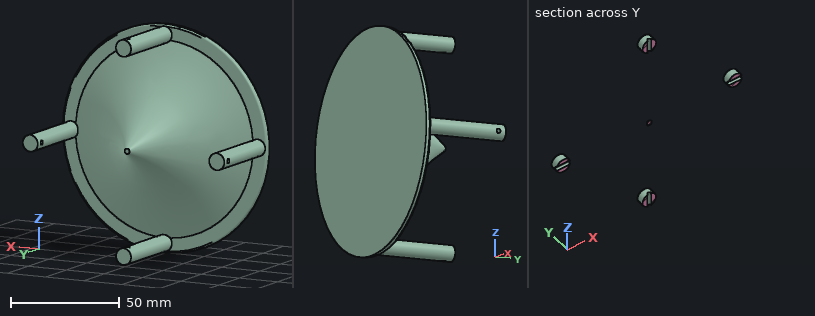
import cadquery as cq

plate_diameter = 107.5
plate_thickness = 2.7
rim_fillet = 1.0

post_count = 4
post_diameter = 8.0
post_length = 39.8
post_circle_radius = 48.9
pin_hole_diameter = 2.0
pin_hole_end_distance = 4.0

cone_tip_radius = 1.3
cone_base_radius = 46.5
cone_middle_radius = 21.9
cone_middle_height = 13.8
cone_height = 36.2

plate_radius = plate_diameter / 2
overall_depth = plate_thickness + post_length
pin_hole_y = overall_depth - pin_hole_end_distance


def make_plate():
    """Disc with only its back rim rounded."""
    disc = cq.Workplane("XZ").circle(plate_radius).extrude(-plate_thickness)
    return disc.faces(">Y").edges().fillet(rim_fillet)


def make_cone():
    """Concave flare revolved about the Y axis, sunk to the front face for a solid joint."""
    return (
        cq.Workplane("XY")
        .lineTo(cone_base_radius, 0)
        .lineTo(cone_base_radius, plate_thickness)
        .threePointArc(
            (cone_middle_radius, plate_thickness + cone_middle_height),
            (cone_tip_radius, plate_thickness + cone_height),
        )
        .lineTo(0, plate_thickness + cone_height)
        .close()
        .revolve(360, (0, 0, 0), (0, 1, 0))
    )


def make_post(angle):
    """Post with a radial through hole, turned about the plate axis."""
    post = (
        cq.Workplane("XZ")
        .center(post_circle_radius, 0)
        .circle(post_diameter / 2)
        .extrude(-overall_depth)
    )
    pin_hole = (
        cq.Workplane("YZ", origin=(post_circle_radius, pin_hole_y, 0))
        .circle(pin_hole_diameter / 2)
        .extrude(post_diameter, both=True)
    )
    return post.cut(pin_hole).rotate((0, 0, 0), (0, 1, 0), angle)


result = make_plate().union(make_cone())
for index in range(post_count):
    result = result.union(make_post(index * 360 / post_count))